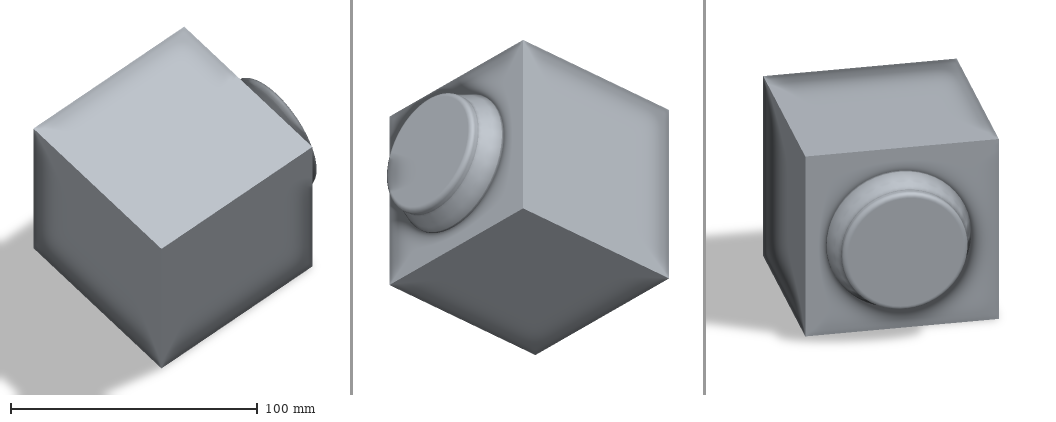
import cadquery as cq

box_x = 80.25
box_y = 80.2
box_z = 80.2
panel_thickness = 3.0

narrow_finger = 6.0
narrow_count = 7
wide_count_per_end = 2

knob_offset_x = 1.5
knob_base_diameter = 60.0
knob_top_diameter = 52.0
knob_flange_height = 1.0
knob_cone_height = 9.0
knob_height = 14.0
knob_top_fillet = 2.0

EVEN = 0
ODD = 1


def finger_spans(edge_length):
    """Return (centre, width) of every finger along an edge centred on zero."""
    wide_finger = (edge_length - narrow_count * narrow_finger) / (2 * wide_count_per_end)
    end_widths = [wide_finger] * wide_count_per_end
    spans = []
    start = -edge_length / 2
    for width in end_widths + [narrow_finger] * narrow_count + end_widths:
        spans.append((start + width / 2, width))
        start += width
    return spans


def make_panel(plane, centre, width, height, notched_along_width, notched_along_height):
    """Make a plate in the given plane, with notches of one panel thickness on all four edges."""
    base = cq.Workplane(plane, origin=centre)
    panel = base.box(width, height, panel_thickness)

    edge_y = (height - panel_thickness) / 2
    for position, length in finger_spans(width)[notched_along_width::2]:
        notches = base.pushPoints([(position, -edge_y), (position, edge_y)])
        panel = panel.cut(notches.box(length, panel_thickness, panel_thickness))

    edge_x = (width - panel_thickness) / 2
    for position, length in finger_spans(height)[notched_along_height::2]:
        notches = base.pushPoints([(-edge_x, position), (edge_x, position)])
        panel = panel.cut(notches.box(panel_thickness, length, panel_thickness))
    return panel


def make_end_panel(side):
    """Front (-1) or back (+1) panel, which keeps the box corners."""
    centre = (0, side * (box_y - panel_thickness) / 2, 0)
    return make_panel("XZ", centre, box_x, box_z, ODD, ODD)


def make_side_panel(side):
    """Left (-1) or right (+1) panel."""
    centre = (side * (box_x - panel_thickness) / 2, 0, 0)
    return make_panel("YZ", centre, box_y, box_z, ODD, EVEN)


def make_cover_panel(side):
    """Bottom (-1) or top (+1) panel."""
    centre = (0, 0, side * (box_z - panel_thickness) / 2)
    return make_panel("XY", centre, box_x, box_y, EVEN, EVEN)


def make_knob():
    """Knob with a thin flange, a cone and a rounded cap, revolved about an axis along Y."""
    base_radius = knob_base_diameter / 2
    top_radius = knob_top_diameter / 2
    profile = (
        cq.Workplane("XY", origin=(knob_offset_x, box_y / 2, 0))
        .lineTo(base_radius, 0)
        .lineTo(base_radius, knob_flange_height)
        .lineTo(top_radius, knob_flange_height + knob_cone_height)
        .lineTo(top_radius, knob_height)
        .lineTo(0, knob_height)
        .close()
    )
    knob = profile.revolve(360, (0, 0, 0), (0, 1, 0))
    return knob.faces(">Y").edges().fillet(knob_top_fillet)


bodies = []
for side in (-1, 1):
    bodies.append(make_end_panel(side).solids().val())
    bodies.append(make_side_panel(side).solids().val())
    bodies.append(make_cover_panel(side).solids().val())
bodies.append(make_knob().solids().val())

result = cq.Compound.makeCompound(bodies)